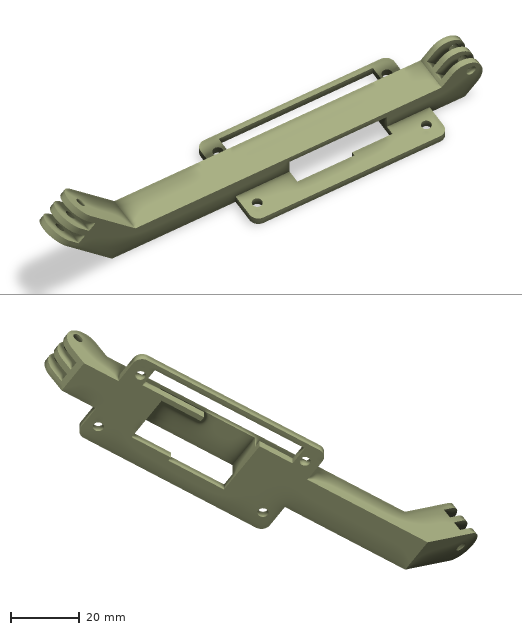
import cadquery as cq
import math

BAR_LENGTH = 120.0
BAR_WIDTH = 12.0
BAR_HEIGHT = 9.0

ARM_ANGLE = 45.0
ARM_SIZE = BAR_WIDTH
ARM_END_RADIUS = ARM_SIZE / 2
FRONT_ARM_LENGTH = 28.0
REAR_ARM_LENGTH = 12.0
FINGER_COUNT = 3
FINGER_THICKNESS = 2.0
FINGER_DEPTH = 10.0
FINGER_GAP = (ARM_SIZE - FINGER_COUNT * FINGER_THICKNESS) / (FINGER_COUNT - 1)
HOLE_DIAMETER = 3.2
FRONT_HOLE_FROM_TIP = ARM_END_RADIUS
REAR_HOLE_FROM_TIP = 3.0

PLATE_WIDTH = 34.0
PLATE_LENGTH = 66.0
PLATE_THICKNESS = 2.5
PLATE_CENTER_Y = 75.0
PLATE_CORNER_RADIUS = 3.0
MOUNT_SPACING_X = 22.5
MOUNT_SPACING_Y = 57.5

SIDE_WINDOW_X = (-15.2, -8.6)
SIDE_WINDOW_Y = (48.9, 101.3)

NARROW_WINDOW_X = (-6.9, 9.1)
WIDE_WINDOW_X = (SIDE_WINDOW_X[1], 10.4)
STEP_Y = 79.8
BAR_SLOT_Y = (60.4, 93.5)
BAR_SLOT_ROOF = 2.0
BAR_SLOT_HEIGHT = BAR_HEIGHT - BAR_SLOT_ROOF


def box_between(x_range, y_range, z_range):
    """Axis-aligned box given by its lower and upper limit on each axis."""
    size = [upper - lower for lower, upper in (x_range, y_range, z_range)]
    corner = (x_range[0], y_range[0], z_range[0])
    return cq.Workplane("XY").box(*size, centered=False).translate(corner)


def arm_solid(plane, length):
    """Arm running along local X from 0 to length, with a half-round far end."""
    straight = length - ARM_END_RADIUS
    return (
        cq.Workplane(plane)
        .moveTo(0, -ARM_END_RADIUS)
        .lineTo(straight, -ARM_END_RADIUS)
        .threePointArc((length, 0), (straight, ARM_END_RADIUS))
        .lineTo(0, ARM_END_RADIUS)
        .close()
        .extrude(ARM_SIZE / 2, both=True)
    )


def finger_gaps(plane, length):
    """Slots between the fingers, spaced along the pin direction."""
    pitch = FINGER_THICKNESS + FINGER_GAP
    gaps = cq.Workplane(plane)
    offsets = [(i - (FINGER_COUNT - 2) / 2) * pitch for i in range(FINGER_COUNT - 1)]
    middle = length - FINGER_DEPTH / 2
    for offset in offsets:
        slot = (
            cq.Workplane(plane)
            .workplane(offset=offset)
            .center(middle, 0)
            .rect(FINGER_DEPTH, ARM_SIZE)
            .extrude(FINGER_GAP / 2, both=True)
        )
        gaps = gaps.add(slot)
    return gaps.combine()


def pin_hole(plane, position):
    """Pin hole through all the fingers of an arm."""
    return (
        cq.Workplane(plane)
        .center(position, 0)
        .circle(HOLE_DIAMETER / 2)
        .extrude(ARM_SIZE / 2, both=True)
    )


def add_arm(body, plane, length, hole_from_tip):
    """Join a hinge arm to the body, then cut its finger gaps and pin hole."""
    body = body.union(arm_solid(plane, length))
    body = body.cut(finger_gaps(plane, length))
    return body.cut(pin_hole(plane, length - hole_from_tip))


def arm_plane(end_y, outward, pin_along_x):
    """Plane at an arm's root: local X runs along the arm, the normal along the pin."""
    rise = math.sin(math.radians(ARM_ANGLE))
    run = math.cos(math.radians(ARM_ANGLE))
    half = ARM_SIZE / 2
    origin = (0, end_y - outward * half * rise, half * run)
    direction = (0, outward * run, rise)
    pin = (1, 0, 0) if pin_along_x else (0, -outward * rise, run)
    return cq.Plane(origin=origin, xDir=direction, normal=pin)


def make_plate():
    """Rounded plate with four mounting holes."""
    return (
        cq.Workplane("XY")
        .center(0, PLATE_CENTER_Y)
        .rect(PLATE_WIDTH, PLATE_LENGTH)
        .extrude(PLATE_THICKNESS)
        .edges("|Z")
        .fillet(PLATE_CORNER_RADIUS)
        .faces(">Z")
        .workplane(origin=(0, PLATE_CENTER_Y, 0))
        .rect(MOUNT_SPACING_X, MOUNT_SPACING_Y, forConstruction=True)
        .vertices()
        .hole(HOLE_DIAMETER)
    )


def cut_windows(body):
    """Cut the side window, the stepped window and the slot through the bar above it."""
    plate_z = (0, PLATE_THICKNESS)
    half_bar = BAR_WIDTH / 2
    narrow_y = (STEP_Y, BAR_SLOT_Y[1])
    wide_y = (BAR_SLOT_Y[0], STEP_Y)
    body = body.cut(box_between(SIDE_WINDOW_X, SIDE_WINDOW_Y, plate_z))
    body = body.cut(box_between(NARROW_WINDOW_X, narrow_y, plate_z))
    body = body.cut(box_between(WIDE_WINDOW_X, wide_y, plate_z))
    return body.cut(box_between((-half_bar, half_bar), BAR_SLOT_Y, (0, BAR_SLOT_HEIGHT)))


bar = box_between((-BAR_WIDTH / 2, BAR_WIDTH / 2), (0, BAR_LENGTH), (0, BAR_HEIGHT))
body = cut_windows(bar.union(make_plate()))

front_plane = arm_plane(0, -1, pin_along_x=False)
rear_plane = arm_plane(BAR_LENGTH, 1, pin_along_x=True)
body = add_arm(body, front_plane, FRONT_ARM_LENGTH, FRONT_HOLE_FROM_TIP)
result = add_arm(body, rear_plane, REAR_ARM_LENGTH, REAR_HOLE_FROM_TIP)